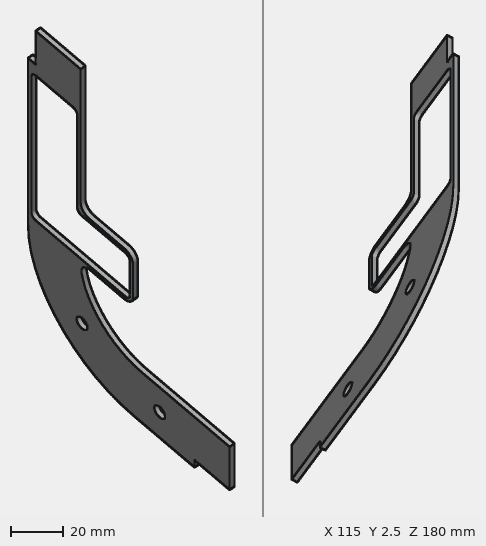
import cadquery as cq
import math

length_x = 115.0
height_z = 180
thickness = 2.5
band_width = 30.0

outer_radius = 60.0
inner_radius = 35.0
inner_center = band_width + inner_radius

tab_length = 20.0
tab_step = 4.3

box_right = 60.0
box_bottom = inner_center
box_top = box_bottom + band_width
box_radius = 5.0

wall = 2.0
window_top = 153.4
window_radius = 2.5

hole_diameter = 6.1
hole_centers = [(30.8, 29.0), (75.0, 15.3)]


def extrude_plate(sketch):
    """Extrude an XZ outline toward +Y from the Y = 0 face."""
    return sketch.extrude(-thickness)


def round_corners(body, corners, radius):
    """Fillet the through-thickness edges at the given (x, z) corners."""
    for x, z in corners:
        corner = cq.selectors.NearestToPointSelector((x, thickness / 2, z))
        body = body.edges("|Y").edges(corner).fillet(radius)
    return body


def make_plate():
    diagonal = math.sqrt(0.5)
    outer_mid = outer_radius * (1 - diagonal)
    inner_mid = inner_center - inner_radius * diagonal
    outline = (
        cq.Workplane("XZ")
        .moveTo(outer_radius, 0)
        .lineTo(length_x - tab_length, 0)
        .lineTo(length_x - tab_length, tab_step)
        .lineTo(length_x, tab_step)
        .lineTo(length_x, band_width)
        .lineTo(inner_center, band_width)
        .threePointArc((inner_mid, inner_mid), (band_width, inner_center))
        .lineTo(box_right, box_bottom)
        .lineTo(box_right, box_top)
        .lineTo(band_width, box_top)
        .lineTo(band_width, height_z)
        .lineTo(tab_step, height_z)
        .lineTo(tab_step, height_z - tab_length)
        .lineTo(0, height_z - tab_length)
        .lineTo(0, outer_radius)
        .threePointArc((outer_mid, outer_mid), (outer_radius, 0))
        .close()
    )
    box_corners = [(x, z) for x in (band_width, box_right) for z in (box_bottom, box_top)]
    return round_corners(extrude_plate(outline), box_corners, box_radius)


def make_window():
    outline = cq.Workplane("XZ").polyline([
        (wall, box_bottom + wall),
        (box_right - wall, box_bottom + wall),
        (box_right - wall, box_top - wall),
        (band_width - wall, box_top - wall),
        (band_width - wall, window_top),
        (wall, window_top),
    ]).close()
    return extrude_plate(outline).edges("|Y").fillet(window_radius)


def make_holes():
    outline = cq.Workplane("XZ").pushPoints(hole_centers).circle(hole_diameter / 2)
    return extrude_plate(outline)


result = make_plate().cut(make_window()).cut(make_holes())